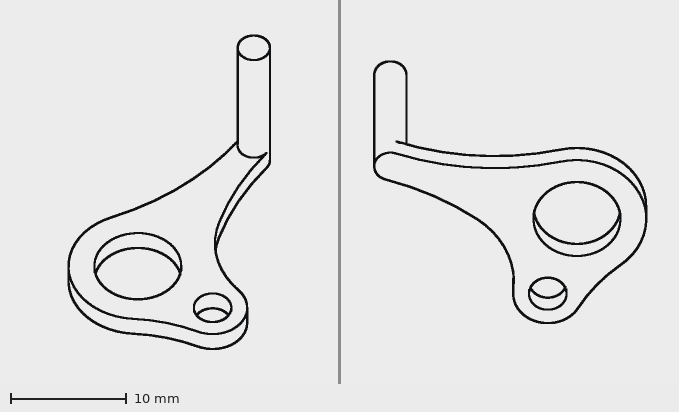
import cadquery as cq
import math

plate_thickness = 2.0
total_length = 24.4
total_height = 15.0
ring_radius = 6.0
ring_bore_diameter = 7.5
pin_diameter = 2.8
lobe_radius = 3.0
lobe_hole_diameter = 3.25
lobe_offset = 8.0
lower_blend_radius = 15.0
flank_radius = 25.0
upper_blend_radius = 8.0

pin_radius = pin_diameter / 2
pin_offset = total_length - ring_radius - pin_radius

ring_center = (0, 0)
pin_center = (0, pin_offset)
lobe_center = (lobe_offset, 0)


def toward(start, end, distance):
    """Point at a distance from start, in the direction of end."""
    span = math.dist(start, end)
    return tuple(s + (e - s) * distance / span for s, e in zip(start, end))


def circle_crossing(first, first_radius, second, second_radius):
    """Crossing of two circles on the right-hand side of the line first to second."""
    span = math.dist(first, second)
    along = (span**2 + first_radius**2 - second_radius**2) / (2 * span)
    across = math.sqrt(first_radius**2 - along**2)
    ux = (second[0] - first[0]) / span
    uy = (second[1] - first[1]) / span
    return (first[0] + along * ux + across * uy, first[1] + along * uy - across * ux)


pin_left = (-pin_radius, pin_offset)
pin_right = (pin_radius, pin_offset)
pin_tip = (0, pin_offset + pin_radius)

left_flank_center = circle_crossing(
    pin_left, flank_radius,
    ring_center, ring_radius + flank_radius,
)
right_flank_center = (-left_flank_center[0], left_flank_center[1])

lower_blend_center = circle_crossing(
    ring_center, ring_radius + lower_blend_radius,
    lobe_center, lobe_radius + lower_blend_radius,
)
upper_blend_center = circle_crossing(
    right_flank_center, flank_radius - upper_blend_radius,
    lobe_center, lobe_radius + upper_blend_radius,
)

ring_left = toward(ring_center, left_flank_center, ring_radius)
ring_lower = toward(ring_center, lower_blend_center, ring_radius)
lobe_lower = toward(lobe_center, lower_blend_center, lobe_radius)
lobe_upper = toward(lobe_center, upper_blend_center, lobe_radius)
flank_end = toward(right_flank_center, upper_blend_center, flank_radius)


def arc_middle(center, radius, start, end):
    """Midpoint of the shorter arc from start to end."""
    chord_middle = ((start[0] + end[0]) / 2, (start[1] + end[1]) / 2)
    return toward(center, chord_middle, radius)


plate = (
    cq.Workplane("XY")
    .moveTo(*pin_left)
    .threePointArc(arc_middle(left_flank_center, flank_radius, pin_left, ring_left), ring_left)
    .threePointArc((0, -ring_radius), ring_lower)
    .threePointArc(
        arc_middle(lower_blend_center, lower_blend_radius, ring_lower, lobe_lower), lobe_lower
    )
    .threePointArc((lobe_offset + lobe_radius, 0), lobe_upper)
    .threePointArc(
        arc_middle(upper_blend_center, upper_blend_radius, lobe_upper, flank_end), flank_end
    )
    .threePointArc(arc_middle(right_flank_center, flank_radius, flank_end, pin_right), pin_right)
    .threePointArc(pin_tip, pin_left)
    .close()
    .extrude(plate_thickness)
)


def cylinder(center, diameter, height):
    """Upright cylinder standing on the bottom plane."""
    return cq.Workplane("XY").center(*center).circle(diameter / 2).extrude(height)


result = (
    plate.union(cylinder(pin_center, pin_diameter, total_height))
    .cut(cylinder(ring_center, ring_bore_diameter, plate_thickness))
    .cut(cylinder(lobe_center, lobe_hole_diameter, plate_thickness))
)